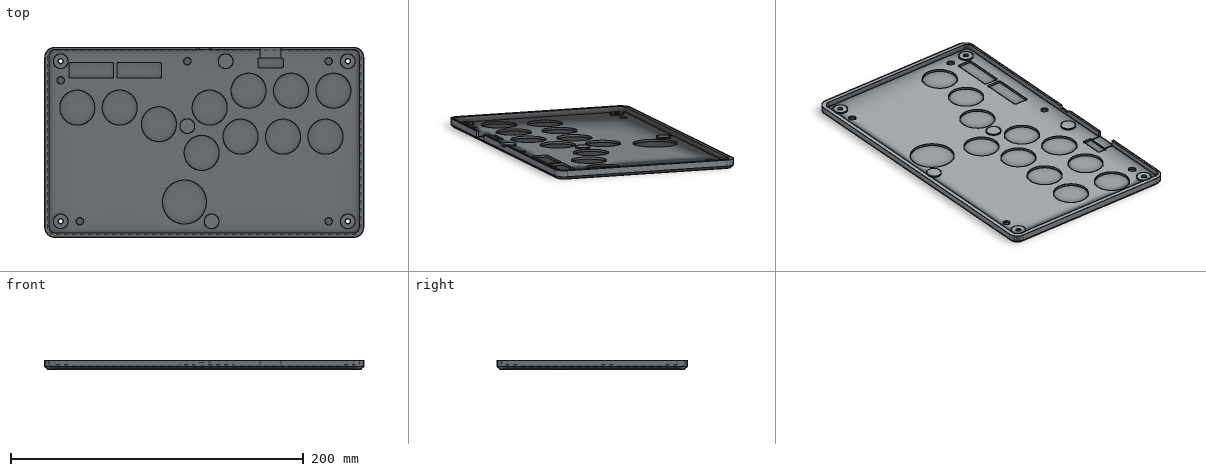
import cadquery as cq

LENGTH = 218.0
WIDTH = 130.0
HEIGHT = 6.0
CORNER_RADIUS = 7.0
BOTTOM_CHAMFER = 2.0
FLOOR = 2.5
WALL = 3.0
BACK_WALL = 1.5

PAD_DIAMETER = 10.0
PAD_HEIGHT = 0.9
SCREW_DIAMETER = 3.3
PEG_HOLE_DIAMETER = 5.0
BUTTON_DIAMETER = 24.0
LARGE_BUTTON_DIAMETER = 30.0
POCKET_DEPTH = 1.5

INTERIOR_Y = (WALL - BACK_WALL) / 2
SCREW_X = 98.0
SCREW_OFFSET_Y = 54.7
REAR_ROW_Y = INTERIOR_Y + SCREW_OFFSET_Y
FRONT_ROW_Y = INTERIOR_Y - SCREW_OFFSET_Y
SCREW_POINTS = [(x, y) for x in (-SCREW_X, SCREW_X) for y in (FRONT_ROW_Y, REAR_ROW_Y)]

PEG_OFFSET = 13.0
MIDDLE_X = -11.5
PEG_POINTS = [
    (-SCREW_X + PEG_OFFSET, FRONT_ROW_Y),
    (SCREW_X - PEG_OFFSET, FRONT_ROW_Y),
    (SCREW_X - PEG_OFFSET, REAR_ROW_Y),
    (-SCREW_X, REAR_ROW_Y - PEG_OFFSET),
    (MIDDLE_X, REAR_ROW_Y),
]

SUPPORT_POINTS = [(MIDDLE_X, 11.1), (14.5, REAR_ROW_Y), (5.0, FRONT_ROW_Y)]

BUTTON_PITCH = 29.0
LEFT_ROW_START = (-86.8, 23.8)
UPPER_ROW_START = (30.3, 35.3)
LOWER_ROW_START = (24.9, 4.0)
SINGLE_BUTTONS = [(-31.0, 12.5), (3.7, 23.8), (-1.7, -7.2)]
LARGE_BUTTON = (-13.5, -40.8)

WINDOW_LENGTH = 30.5
WINDOW_WIDTH = 10.7
WINDOW_GAP = 2.2
WINDOW_CENTER = (-60.8, 49.3)
WINDOW_RADIUS = 1.0

CONNECTOR_X = 45.3
OPENING_WIDTH = 14.4
OPENING_DEPTH = 0.5
SLOT_LENGTH = 17.5
SLOT_WIDTH = 6.8
SLOT_REAR_Y = 57.8
SLOT_RADIUS = 1.0

DIP_TOP_WIDTH = 9.8
DIP_BOTTOM_WIDTH = 6.5
DIP_DEPTH = 1.5


def button_row(start, count):
    return [(start[0] + i * BUTTON_PITCH, start[1]) for i in range(count)]


def tray():
    body = (
        cq.Workplane("XY")
        .rect(LENGTH, WIDTH)
        .extrude(HEIGHT)
        .edges("|Z")
        .fillet(CORNER_RADIUS)
        .faces("<Z")
        .edges()
        .chamfer(BOTTOM_CHAMFER)
    )
    interior = (
        cq.Workplane("XY", origin=(0, INTERIOR_Y, FLOOR))
        .rect(LENGTH - 2 * WALL, WIDTH - WALL - BACK_WALL)
        .extrude(HEIGHT)
        .edges("|Z")
        .fillet(CORNER_RADIUS - WALL)
    )
    return body.cut(interior)


def cylinders(points, diameter, bottom, height):
    return cq.Workplane("XY", origin=(0, 0, bottom)).pushPoints(points).circle(diameter / 2).extrude(height)


def floor_recesses(points, diameter):
    return cylinders(points, diameter, FLOOR - POCKET_DEPTH, POCKET_DEPTH)


def rounded_recesses(points, length, width, radius):
    return (
        cq.Workplane("XY", origin=(0, 0, FLOOR - POCKET_DEPTH))
        .pushPoints(points)
        .rect(length, width)
        .extrude(POCKET_DEPTH)
        .edges("|Z")
        .fillet(radius)
    )


def windows():
    shift = (WINDOW_LENGTH + WINDOW_GAP) / 2
    centers = [(WINDOW_CENTER[0] + side * shift, WINDOW_CENTER[1]) for side in (-1, 1)]
    return rounded_recesses(centers, WINDOW_LENGTH, WINDOW_WIDTH, WINDOW_RADIUS)


def connector_opening():
    opening = (
        cq.Workplane("XY", origin=(CONNECTOR_X, SLOT_REAR_Y, FLOOR - OPENING_DEPTH))
        .rect(OPENING_WIDTH, WIDTH - 2 * SLOT_REAR_Y, centered=(True, False))
        .extrude(HEIGHT)
    )
    slot_center = (CONNECTOR_X, SLOT_REAR_Y - SLOT_WIDTH / 2)
    slot = rounded_recesses([slot_center], SLOT_LENGTH, SLOT_WIDTH, SLOT_RADIUS)
    return opening.union(slot)


def wall_dip():
    return (
        cq.Workplane("XZ", origin=(0, WIDTH / 2, HEIGHT))
        .moveTo(-DIP_TOP_WIDTH / 2, 0)
        .lineTo(-DIP_BOTTOM_WIDTH / 2, -DIP_DEPTH)
        .lineTo(DIP_BOTTOM_WIDTH / 2, -DIP_DEPTH)
        .lineTo(DIP_TOP_WIDTH / 2, 0)
        .close()
        .extrude(BACK_WALL)
    )


buttons = (
    button_row(LEFT_ROW_START, 2)
    + button_row(UPPER_ROW_START, 3)
    + button_row(LOWER_ROW_START, 3)
    + SINGLE_BUTTONS
)

result = (
    tray()
    .cut(windows())
    .cut(floor_recesses(buttons, BUTTON_DIAMETER))
    .cut(floor_recesses([LARGE_BUTTON], LARGE_BUTTON_DIAMETER))
    .cut(floor_recesses(PEG_POINTS, PEG_HOLE_DIAMETER))
    .cut(connector_opening())
    .cut(wall_dip())
    .union(cylinders(SCREW_POINTS + SUPPORT_POINTS, PAD_DIAMETER, FLOOR, PAD_HEIGHT))
    .cut(cylinders(SCREW_POINTS, SCREW_DIAMETER, 0, HEIGHT))
)